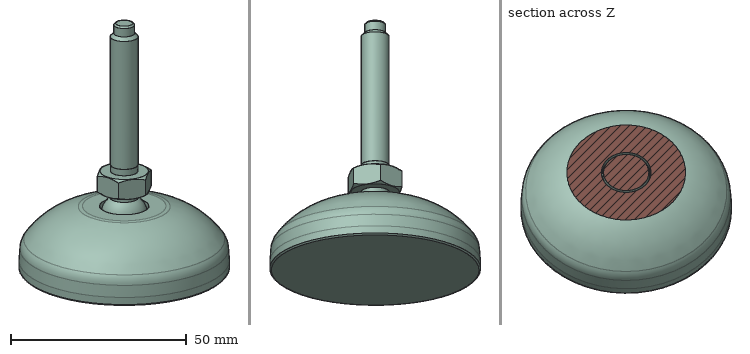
import cadquery as cq
import math

total_height = 74.7
base_diameter = 60.0

floor_chamfer = 0.45
rim_height = 2.6
wall_top_radius = 29.7
wall_top_height = 6.2
shoulder_arc_radius = 5.0
dome_foot_radius = 28.6
dome_foot_height = 9.0
dome_arc_radius = 26.5
dome_rim_radius = 13.1
dome_rim_height = 18.9
base_height = 19.05
top_flat_radius = 11.9

ball_diameter = 13.3
socket_diameter = 14.0
neck_diameter = 8.1
neck_bottom = 21.7

hex_across_flats = 14.05
hex_bottom = 23.6
hex_height = 6.1
hex_face_diameter = 13.75
hex_chamfer_angle = 30.0

thread_diameter = 8.0
relief_diameter = 7.85
relief_top = 31.7
tip_diameter = 6.0
tip_length = 3.1
tip_chamfer = 0.5

base_radius = base_diameter / 2
ball_radius = ball_diameter / 2
neck_radius = neck_diameter / 2
ball_center = neck_bottom - math.sqrt(ball_radius**2 - neck_radius**2)
hex_top = hex_bottom + hex_height
tip_bottom = total_height - tip_length


def cylinder(diameter, bottom, top):
    """Cylinder on the Z axis between two heights."""
    return cq.Workplane("XY").workplane(offset=bottom).circle(diameter / 2).extrude(top - bottom)


def make_base():
    """Domed base plate with a round socket, open upward to the middle of the ball."""
    plate = (
        cq.Workplane("XZ")
        .lineTo(base_radius - floor_chamfer, 0)
        .lineTo(base_radius, floor_chamfer)
        .lineTo(base_radius, rim_height)
        .lineTo(wall_top_radius, wall_top_height)
        .radiusArc((dome_foot_radius, dome_foot_height), -shoulder_arc_radius)
        .radiusArc((dome_rim_radius, dome_rim_height), -dome_arc_radius)
        .lineTo(top_flat_radius, base_height)
        .lineTo(0, base_height)
        .close()
        .revolve(360, (0, 0, 0), (0, 1, 0))
    )
    return plate.cut(cylinder(socket_diameter, ball_center, base_height))


def make_ball():
    """Ball with its lower half seated in the base."""
    return cq.Workplane("XY").sphere(ball_radius).translate((0, 0, ball_center))


def make_hexagon():
    """Hexagon with its corners chamfered conically at both ends."""
    corner_radius = hex_across_flats / math.sqrt(3)
    face_radius = hex_face_diameter / 2
    corner_drop = (corner_radius - face_radius) * math.tan(math.radians(hex_chamfer_angle))
    prism = (
        cq.Workplane("XY")
        .workplane(offset=hex_bottom)
        .transformed(rotate=(0, 0, 90))
        .polygon(6, 2 * corner_radius)
        .extrude(hex_height)
    )
    envelope = (
        cq.Workplane("XZ")
        .moveTo(0, hex_bottom)
        .lineTo(face_radius, hex_bottom)
        .lineTo(corner_radius, hex_bottom + corner_drop)
        .lineTo(corner_radius, hex_top - corner_drop)
        .lineTo(face_radius, hex_top)
        .lineTo(0, hex_top)
        .close()
        .revolve(360, (0, 0, 0), (0, 1, 0))
    )
    return prism.intersect(envelope)


def make_stud():
    """Neck, thread relief, plain thread body and the stepped tip."""
    lead_in = (thread_diameter - tip_diameter) / 2
    neck = cylinder(neck_diameter, ball_center, hex_bottom)
    relief = cylinder(relief_diameter, hex_bottom, relief_top)
    thread = cylinder(thread_diameter, relief_top, tip_bottom).faces(">Z").chamfer(lead_in)
    tip = cylinder(tip_diameter, tip_bottom, total_height).faces(">Z").chamfer(tip_chamfer)
    return neck.union(relief).union(thread).union(tip)


result = make_base().union(make_ball()).union(make_hexagon()).union(make_stud())